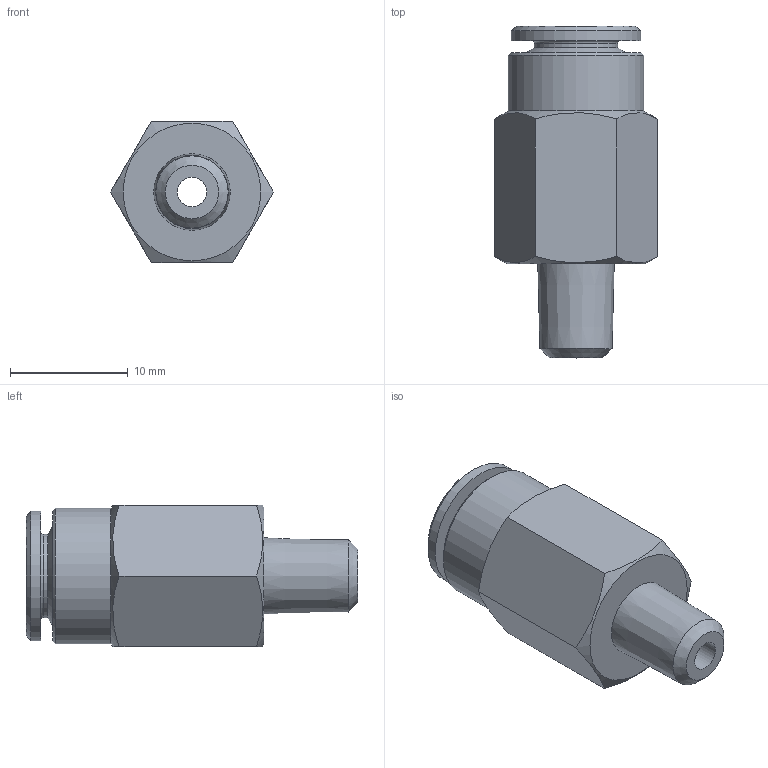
import cadquery as cq
import math


stem_length = 8.0
stem_base_radius = 3.25
stem_tip_radius = 3.07
stem_chamfer = 0.8

hex_sides = 6
hex_across_flats = 12.0
hex_length = 13.0
hex_chamfer_angle = 30.0
hex_stem_face_radius = 5.85

body_radius = 5.75
body_end = 17.97
body_chamfer = 0.25

ring_radius = 5.5
ring_thickness = 1.25
ring_chamfer = 0.4
ring_gap = 1.0
neck_radius = 3.55
neck_fillet = 0.2
neck_cone_base_radius = 4.25
neck_cone_length = 0.4

bore_radius = 1.25

ring_start = body_end + ring_gap
ring_end = ring_start + ring_thickness
hex_corner_radius = hex_across_flats / 2 / math.cos(math.pi / hex_sides)


def revolve_about_y(profile):
    """Revolve a closed (radius, y) profile a full turn about the Y axis."""
    return profile.close().revolve(360, (0, 0, 0), (0, 1, 0))


def make_stem():
    chamfer_start = stem_length - stem_chamfer
    profile = (
        cq.Workplane("XY")
        .moveTo(0, 0)
        .lineTo(stem_base_radius, 0)
        .lineTo(stem_tip_radius, -chamfer_start)
        .lineTo(stem_tip_radius - stem_chamfer, -stem_length)
        .lineTo(0, -stem_length)
    )
    return revolve_about_y(profile)


def make_hexagon():
    """Hexagonal prism with corners on the X axis, trimmed by a cone at each end."""
    prism = (
        cq.Workplane("XZ")
        .polygon(hex_sides, 2 * hex_corner_radius)
        .extrude(-hex_length)
    )
    slope = math.tan(math.radians(hex_chamfer_angle))
    stem_side_drop = (hex_corner_radius - hex_stem_face_radius) * slope
    body_side_drop = (hex_corner_radius - body_radius) * slope
    envelope = (
        cq.Workplane("XY")
        .moveTo(0, 0)
        .lineTo(hex_stem_face_radius, 0)
        .lineTo(hex_corner_radius, stem_side_drop)
        .lineTo(hex_corner_radius, hex_length - body_side_drop)
        .lineTo(body_radius, hex_length)
        .lineTo(0, hex_length)
    )
    return prism.intersect(revolve_about_y(envelope))


def make_body():
    profile = (
        cq.Workplane("XY")
        .moveTo(0, hex_length)
        .lineTo(body_radius, hex_length)
        .lineTo(body_radius, body_end - body_chamfer)
        .lineTo(body_radius - body_chamfer, body_end)
        .lineTo(0, body_end)
    )
    return revolve_about_y(profile)


def make_release_ring():
    profile = (
        cq.Workplane("XY")
        .moveTo(0, body_end)
        .lineTo(neck_cone_base_radius, body_end)
        .lineTo(neck_radius, body_end + neck_cone_length)
        .lineTo(neck_radius, ring_start - neck_fillet)
        .radiusArc((neck_radius + neck_fillet, ring_start), neck_fillet)
        .lineTo(ring_radius, ring_start)
        .lineTo(ring_radius, ring_end - ring_chamfer)
        .lineTo(ring_radius - ring_chamfer, ring_end)
        .lineTo(0, ring_end)
    )
    return revolve_about_y(profile)


def make_bore():
    return (
        cq.Workplane("XZ", origin=(0, -stem_length, 0))
        .circle(bore_radius)
        .extrude(-(stem_length + ring_end))
    )


solid_fitting = make_stem().union(make_hexagon()).union(make_body()).union(make_release_ring())
result = solid_fitting.cut(make_bore())